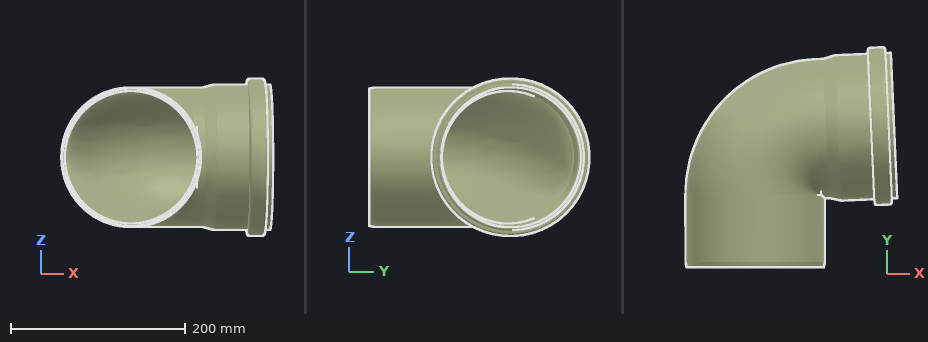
import cadquery as cq
import math

bend_angle = 87.5
bend_radius = 76.0
pipe_radius = 80.2
bore_radius = 76.05

spigot_length = 83.3
spigot_chamfer_length = 6.0
spigot_chamfer_depth = 1.3

socket_radius = 83.8
socket_wall = 3.42
bead_radius = 90.5
collar_length = 9.4
taper_length = 13.7
socket_tube_length = 37.5
bead_length = 20.2
lip_length = 6.3

bead_crest_fillet = 3.42
bead_root_fillet = 1.0
lip_fillet = 1.0

taper_end = collar_length + taper_length
bead_start = taper_end + socket_tube_length
bead_end = bead_start + bead_length
socket_end = bead_end + lip_length
socket_bore_radius = socket_radius - socket_wall


def straight_end(profile):
    """Revolve (radius, distance) points about +Y, closing the profile on the axis."""
    points = [(0, profile[0][1])] + profile + [(0, profile[-1][1])]
    return cq.Workplane("XY").polyline(points).close().revolve(360, (0, 0, 0), (0, 1, 0))


def fillet_rim(body, rim_radius, rim_position, fillet_radius):
    """Round the circular edge of a given radius at a given distance along +Y."""
    tolerance = 0.003

    def is_rim(edge):
        return (
            edge.geomType() == "CIRCLE"
            and abs(edge.radius() - rim_radius) < tolerance
            and abs(edge.arcCenter().y - rim_position) < tolerance
        )

    return body.edges().filter(is_rim).fillet(fillet_radius)


def place_socket(body):
    """Move a body from the origin, along +Y, to the tilted end of the bend."""
    return body.rotate((bend_radius, 0, 0), (bend_radius, 0, 1), -bend_angle)


def bend(radius):
    """Sweep a round section about the bend axis, cut off where it would cross that axis."""
    chord_half = math.sqrt(radius**2 - bend_radius**2)
    return (
        cq.Workplane("XZ")
        .moveTo(bend_radius, chord_half)
        .threePointArc((-radius, 0), (bend_radius, -chord_half))
        .close()
        .revolve(bend_angle, (bend_radius, 0, 0), (bend_radius, -1, 0))
    )


spigot = straight_end([
    (pipe_radius - spigot_chamfer_depth, -spigot_length),
    (pipe_radius, -spigot_length + spigot_chamfer_length),
    (pipe_radius, 0),
])
spigot_bore = straight_end([(bore_radius, -spigot_length), (bore_radius, 0)])

socket = straight_end([
    (pipe_radius, 0),
    (pipe_radius, collar_length),
    (socket_radius, taper_end),
    (socket_radius, bead_start),
    (bead_radius, bead_start),
    (bead_radius, bead_end),
    (socket_radius, bead_end),
    (socket_radius, socket_end),
])
for rim_radius, rim_position, fillet_radius in [
    (bead_radius, bead_start, bead_crest_fillet),
    (bead_radius, bead_end, bead_crest_fillet),
    (socket_radius, bead_start, bead_root_fillet),
    (socket_radius, bead_end, bead_root_fillet),
    (socket_radius, socket_end, lip_fillet),
]:
    socket = fillet_rim(socket, rim_radius, rim_position, fillet_radius)
socket = place_socket(socket)

socket_bore = place_socket(straight_end([
    (bore_radius, 0),
    (bore_radius, collar_length),
    (socket_bore_radius, taper_end),
    (socket_bore_radius, socket_end),
]))

outside = spigot.union(bend(pipe_radius)).union(socket)
result = outside.cut(spigot_bore).cut(bend(bore_radius)).cut(socket_bore)